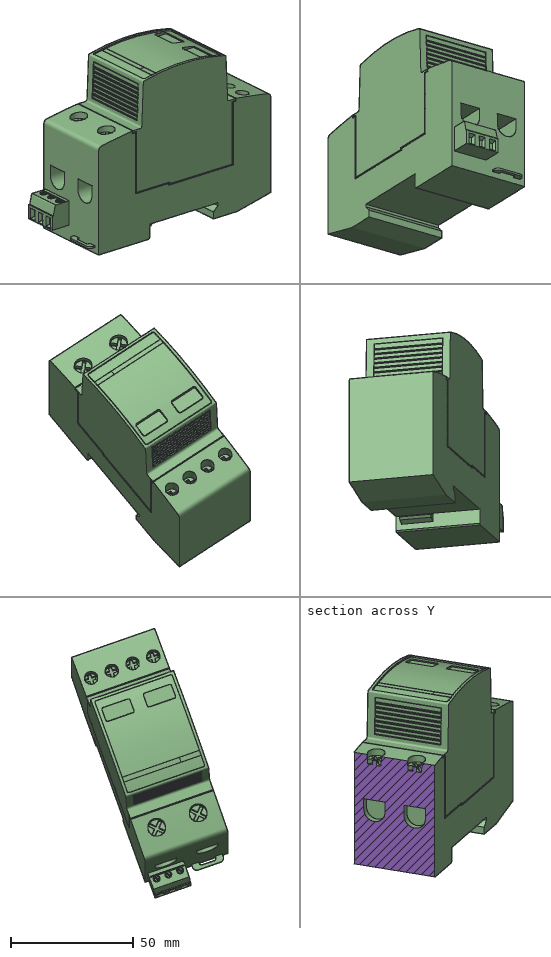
import cadquery as cq
import math


WIDTH = 36.0
HALF_WIDTH = WIDTH / 2
HALF_LENGTH = 45.0
HEIGHT = 73.51
POLE_PITCH = WIDTH / 2
POLE_XS = (-POLE_PITCH / 2, POLE_PITCH / 2)

CROWN_RADIUS = 94.0
CROWN_HALF = 21.6
CROWN_EDGE_FILLET = 0.7
MODULE_BASE_HALF = 22.45
MODULE_BASE_FILLET = 0.9

SHOULDER_Z = 50.5
SHOULDER_FLAT_HALF = 27.0
SHOULDER_RADIUS = 250.0
SHOULDER_FILLET = 2.0

REAR_BEVEL_Z = 3.8
REAR_FOOT_Y = 27.5
RAIL_REAR_Y = 15.1
RAIL_HOOK_Y = 17.3
RAIL_HOOK_LOW_Z = 3.1
RAIL_HOOK_HIGH_Z = 5.4
RAIL_TOP_Z = 6.6
RAIL_FRONT_Y = -18.2
RAIL_LEAD_IN = 0.6

GAP = 0.3
GAP_DEPTH = 0.4
LIP_REAR_Y = 26.9
LIP_FRONT_Y = -27.2
LIP_Z = 49.3
SOCKET_REAR_Y = 25.4
SOCKET_FRONT_Y = -25.4
SOCKET_REAR_Z = 21.3
SOCKET_FRONT_Z = 22.1
SOCKET_STEP_Y = -8.1

LABEL_MARGIN = 1.25
LABEL_HALF_LENGTH = 20.25
LABEL_CORNER = 0.7
LABEL_DEPTH = 0.6
WINDOW_LENGTH = 12.2
WINDOW_WIDTH = 6.2
WINDOW_CORNER = 0.8
WINDOW_Y = 13.5
WINDOW_FLOOR_Z = 70.9
STRIP_FRONT_Y = -15.55
STRIP_WIDTH = 2.1
STRIP_SPLIT_X = 8.1
STRIP_LEFT_DEPTH = 0.1
STRIP_RIGHT_DEPTH = 0.15

LOUVRE_WIDTH = 29.4
LOUVRE_COUNT = 8
LOUVRE_PITCH = 1.98
LOUVRE_BOTTOM_Z = 52.7
LOUVRE_LEDGE = 0.2
LOUVRE_LAND = 0.4
LOUVRE_DEPTH = 0.5
LOUVRE_TOP_EXTRA = 0.6

REAR_SCREW_COUNT = 4
REAR_SCREW_PITCH = WIDTH / REAR_SCREW_COUNT
REAR_SCREW_Y = 33.7
REAR_SCREW_DIAMETER = 5.4
REAR_SCREW_HEAD_Z = 44.5
REAR_CROSS_LENGTH = 4.3
REAR_CROSS_SHIFT = 0.4
FRONT_SCREW_Y = -33.8
FRONT_SCREW_DIAMETER = 7.2
FRONT_SCREW_HEAD_Z = 47.2
FRONT_CROSS_LENGTH = 7.0
FRONT_CROSS_TURN = 45.0
CROSS_WIDTH = 1.3
CROSS_DEPTH = 2.0

ENTRY_WIDTH = 9.2
ENTRY_TOP_Z = 29.4
ENTRY_BOTTOM_Z = 20.3
ENTRY_DEPTH = 12.0

TERMINAL_LEFT_X = -16.8
TERMINAL_WIDTH = 15.5
TERMINAL_FRONT_Y = -53.8
TERMINAL_BOTTOM_Z = 6.9
TERMINAL_TOP_Z = 17.7
TERMINAL_LEDGE_Z = 13.2
TERMINAL_LEDGE = 0.5
TERMINAL_SLOPE = 0.9
TERMINAL_TOP_BREAK = 0.6
TERMINAL_BREAK_RUN = 0.35
TERMINAL_PITCH = 5.08
TERMINAL_CENTER_X = TERMINAL_LEFT_X + TERMINAL_WIDTH / 2
TERMINAL_XS = [TERMINAL_CENTER_X + k * TERMINAL_PITCH for k in (-1, 0, 1)]
TERMINAL_SCREW_Y = -48.25
TERMINAL_SCREW_DIAMETER = 2.8
TERMINAL_SCREW_RING = 0.35
TERMINAL_RING_DEPTH = 0.3
TERMINAL_SLOT_WIDTH = 0.5
TERMINAL_SLOT_LENGTH = 1.9
TERMINAL_SLOT_TURN = -45.0
TERMINAL_GROOVE_Y = -46.8
TERMINAL_GROOVE_WIDTH = 0.5
TERMINAL_GROOVE_LENGTH = 14.4
TERMINAL_GROOVE_DEPTH = 0.2
PORT_WIDTH = 2.9
PORT_TOP_Z = 12.0
PORT_BOTTOM_Z = 7.4
PORT_FLOOR_WIDTH = 1.8
PORT_FLOOR_TOP_Z = 11.0
PORT_FLOOR_BOTTOM_Z = 8.1
PORT_DEPTH = 1.5

LATCH_CENTER_X = 8.85
LATCH_WIDTH = 13.4
LATCH_REACH = 3.0
LATCH_BOTTOM_Z = 2.6
LATCH_THICKNESS = 0.8
LATCH_CORNER = 1.9
LATCH_HOLE_WIDTH = 7.1
LATCH_HOLE_REACH = 1.5
LATCH_HOLE_CORNER = 0.9
TOOTH_TIP = (-14.9, 5.4)
TOOTH_BEND = (-15.9, 4.3)
TOOTH_BOTTOM_Z = 3.1
TOOTH_TOP_Z = 6.2

OVERLAP = 1.0


def box(x_range, y_range, z_range):
    """Axis-aligned box between the given limits."""
    size = [high - low for low, high in (x_range, y_range, z_range)]
    return cq.Workplane("XY").box(*size, centered=False).translate((x_range[0], y_range[0], z_range[0]))


def crown_z(y, depth=0.0):
    """Height of the crown surface, or of the surface parallel to it below."""
    radius = CROWN_RADIUS - depth
    return HEIGHT - CROWN_RADIUS + math.sqrt(radius**2 - y**2)


def shoulder_z(y):
    """Height of the shoulder arc, whose axis lies on the mid-plane."""
    flat_drop = math.sqrt(SHOULDER_RADIUS**2 - SHOULDER_FLAT_HALF**2)
    return SHOULDER_Z - flat_drop + math.sqrt(SHOULDER_RADIUS**2 - y**2)


def housing():
    crown_edge_z = crown_z(CROWN_HALF)
    shoulder_end_z = shoulder_z(HALF_LENGTH)
    shoulder_mid_y = (SHOULDER_FLAT_HALF + HALF_LENGTH) / 2
    shoulder_mid_z = shoulder_z(shoulder_mid_y)
    profile = (
        cq.Workplane("YZ", origin=(-HALF_WIDTH, 0, 0))
        .moveTo(-HALF_LENGTH, 0)
        .lineTo(-HALF_LENGTH, shoulder_end_z)
        .threePointArc((-shoulder_mid_y, shoulder_mid_z), (-SHOULDER_FLAT_HALF, SHOULDER_Z))
        .lineTo(-MODULE_BASE_HALF, SHOULDER_Z)
        .lineTo(-CROWN_HALF, crown_edge_z)
        .threePointArc((0, HEIGHT), (CROWN_HALF, crown_edge_z))
        .lineTo(MODULE_BASE_HALF, SHOULDER_Z)
        .lineTo(SHOULDER_FLAT_HALF, SHOULDER_Z)
        .threePointArc((shoulder_mid_y, shoulder_mid_z), (HALF_LENGTH, shoulder_end_z))
        .lineTo(HALF_LENGTH, REAR_BEVEL_Z)
        .lineTo(REAR_FOOT_Y, 0)
        .lineTo(RAIL_REAR_Y, 0)
        .lineTo(RAIL_REAR_Y, RAIL_HOOK_LOW_Z)
        .lineTo(RAIL_HOOK_Y, RAIL_HOOK_HIGH_Z)
        .lineTo(RAIL_HOOK_Y, RAIL_TOP_Z)
        .lineTo(RAIL_FRONT_Y, RAIL_TOP_Z)
        .lineTo(RAIL_FRONT_Y, RAIL_LEAD_IN)
        .lineTo(RAIL_FRONT_Y - RAIL_LEAD_IN, 0)
        .close()
    )
    solid = profile.extrude(WIDTH)
    for half, z, radius in (
        (HALF_LENGTH, shoulder_end_z, SHOULDER_FILLET),
        (MODULE_BASE_HALF, SHOULDER_Z, MODULE_BASE_FILLET),
        (CROWN_HALF, crown_edge_z, CROWN_EDGE_FILLET),
    ):
        for y in (-half, half):
            solid = solid.edges(cq.NearestToPointSelector((0, y, z))).fillet(radius)
    return solid


def parting_gap():
    """Groove around the module: shallow on the side walls, full width across the top lips."""
    above = HEIGHT + OVERLAP
    corners = [
        (LIP_REAR_Y, above),
        (LIP_REAR_Y, LIP_Z),
        (SOCKET_REAR_Y, LIP_Z),
        (SOCKET_REAR_Y, SOCKET_REAR_Z),
        (SOCKET_STEP_Y, SOCKET_REAR_Z),
        (SOCKET_STEP_Y, SOCKET_FRONT_Z),
        (SOCKET_FRONT_Y, SOCKET_FRONT_Z),
        (SOCKET_FRONT_Y, LIP_Z),
        (LIP_FRONT_Y, LIP_Z),
        (LIP_FRONT_Y, above),
    ]
    plane = cq.Workplane("YZ", origin=(-HALF_WIDTH, 0, 0))
    socket = plane.polyline(corners).close().extrude(WIDTH)
    core = plane.polyline(corners).close().offset2D(-GAP, "intersection").extrude(WIDTH)
    ring = socket.cut(core)
    inner_half = HALF_WIDTH - GAP_DEPTH
    buried = box((-inner_half, inner_half), (-HALF_LENGTH, HALF_LENGTH), (0, LIP_Z))
    return ring.cut(buried)


def below_crown(depth):
    """Cylinder whose surface runs parallel to the crown at the given depth."""
    axis_z = HEIGHT - CROWN_RADIUS
    return cq.Workplane("YZ", origin=(-HALF_WIDTH, 0, axis_z)).circle(CROWN_RADIUS - depth).extrude(WIDTH)


def label_recess():
    half_x = HALF_WIDTH - LABEL_MARGIN
    floor_z = crown_z(CROWN_HALF, LABEL_DEPTH) - OVERLAP
    prism = box((-half_x, half_x), (-LABEL_HALF_LENGTH, LABEL_HALF_LENGTH), (floor_z, HEIGHT + OVERLAP))
    tool = prism.edges("|Z").fillet(LABEL_CORNER).cut(below_crown(LABEL_DEPTH))

    strip_y = (STRIP_FRONT_Y, STRIP_FRONT_Y + STRIP_WIDTH)
    for x_range, depth in (
        ((-half_x, STRIP_SPLIT_X), STRIP_LEFT_DEPTH),
        ((STRIP_SPLIT_X, half_x), STRIP_RIGHT_DEPTH),
    ):
        strip = box(x_range, strip_y, (floor_z, HEIGHT))
        tool = tool.union(strip.cut(below_crown(LABEL_DEPTH + depth)))
    return tool


def windows():
    return (
        cq.Workplane("XY", origin=(0, WINDOW_Y, WINDOW_FLOOR_Z))
        .pushPoints([(x, 0) for x in POLE_XS])
        .rect(WINDOW_LENGTH, WINDOW_WIDTH)
        .extrude(HEIGHT - WINDOW_FLOOR_Z)
        .edges("|Z")
        .fillet(WINDOW_CORNER)
    )


def wall_y(z):
    """Distance of the tapered module wall from the mid-plane."""
    rise = (z - SHOULDER_Z) / (crown_z(CROWN_HALF) - SHOULDER_Z)
    return MODULE_BASE_HALF + rise * (CROWN_HALF - MODULE_BASE_HALF)


def louvres():
    """Flat-bottomed grooves in both walls, each with a sloping lower ledge."""
    tool = cq.Workplane("XY")
    for index in range(LOUVRE_COUNT):
        bottom_z = LOUVRE_BOTTOM_Z + index * LOUVRE_PITCH
        ledge_z = bottom_z + LOUVRE_LEDGE
        top_z = bottom_z + LOUVRE_PITCH - LOUVRE_LAND
        if index == LOUVRE_COUNT - 1:
            top_z += LOUVRE_TOP_EXTRA
        groove = (
            cq.Workplane("YZ", origin=(-LOUVRE_WIDTH / 2, 0, 0))
            .polyline([
                (-wall_y(bottom_z), bottom_z),
                (-wall_y(ledge_z) + LOUVRE_DEPTH, ledge_z),
                (-wall_y(top_z) + LOUVRE_DEPTH, top_z),
                (-wall_y(top_z) - OVERLAP, top_z),
                (-wall_y(bottom_z) - OVERLAP, bottom_z),
            ])
            .close()
            .extrude(LOUVRE_WIDTH)
        )
        tool = tool.add(groove).add(groove.mirror("XZ"))
    return tool.combine()


def screw_well(x, y, diameter, head_z, cross_length, cross_y=0, turn=0):
    """Round well down to a screw head with a cross recess, both turned by an angle."""
    well = cq.Workplane("XY", origin=(0, 0, head_z)).circle(diameter / 2).extrude(SHOULDER_Z - head_z)
    cross = cq.Workplane("XY", origin=(0, cross_y, head_z - CROSS_DEPTH))
    tool = well
    for length_x, length_y in ((cross_length, CROSS_WIDTH), (CROSS_WIDTH, cross_length)):
        tool = tool.union(cross.rect(length_x, length_y).extrude(CROSS_DEPTH))
    return tool.rotate((0, 0, 0), (0, 0, 1), turn).translate((x, y, 0))


def wire_entry(x):
    """Slot with a flat top and a half-round bottom, entering the front wall."""
    radius = ENTRY_WIDTH / 2
    arc_z = ENTRY_BOTTOM_Z + radius
    return (
        cq.Workplane("XZ", origin=(x, -HALF_LENGTH, 0))
        .moveTo(-radius, ENTRY_TOP_Z)
        .lineTo(-radius, arc_z)
        .threePointArc((0, ENTRY_BOTTOM_Z), (radius, arc_z))
        .lineTo(radius, ENTRY_TOP_Z)
        .close()
        .extrude(-ENTRY_DEPTH)
    )


def terminal_body():
    slope_foot_y = TERMINAL_FRONT_Y + TERMINAL_LEDGE
    slope_top_y = slope_foot_y + TERMINAL_SLOPE
    return (
        cq.Workplane("YZ", origin=(TERMINAL_LEFT_X, 0, 0))
        .polyline([
            (-HALF_LENGTH + OVERLAP, TERMINAL_BOTTOM_Z),
            (TERMINAL_FRONT_Y, TERMINAL_BOTTOM_Z),
            (TERMINAL_FRONT_Y, TERMINAL_LEDGE_Z),
            (slope_foot_y, TERMINAL_LEDGE_Z),
            (slope_top_y, TERMINAL_TOP_Z - TERMINAL_TOP_BREAK),
            (slope_top_y + TERMINAL_BREAK_RUN, TERMINAL_TOP_Z),
            (-HALF_LENGTH + OVERLAP, TERMINAL_TOP_Z),
        ])
        .close()
        .extrude(TERMINAL_WIDTH)
    )


def terminal_port(x):
    """Rectangular funnel tapering from the block face to a smaller floor."""
    face_z = (PORT_TOP_Z + PORT_BOTTOM_Z) / 2
    floor_z = (PORT_FLOOR_TOP_Z + PORT_FLOOR_BOTTOM_Z) / 2
    return (
        cq.Workplane("XZ", origin=(x, TERMINAL_FRONT_Y, face_z))
        .rect(PORT_WIDTH, PORT_TOP_Z - PORT_BOTTOM_Z)
        .workplane(offset=-PORT_DEPTH)
        .center(0, floor_z - face_z)
        .rect(PORT_FLOOR_WIDTH, PORT_FLOOR_TOP_Z - PORT_FLOOR_BOTTOM_Z)
        .loft(ruled=True)
    )


def terminal_screw(x):
    """Ring groove around a screw head and the slanted driver slot across it."""
    plane = cq.Workplane("XY", origin=(x, TERMINAL_SCREW_Y, TERMINAL_TOP_Z))
    radius = TERMINAL_SCREW_DIAMETER / 2
    ring = plane.circle(radius).circle(radius - TERMINAL_SCREW_RING).extrude(-TERMINAL_RING_DEPTH)
    slot = plane.transformed(rotate=(0, 0, TERMINAL_SLOT_TURN)).rect(TERMINAL_SLOT_LENGTH, TERMINAL_SLOT_WIDTH)
    return ring.union(slot.extrude(-TERMINAL_RING_DEPTH))


def terminal_block():
    block = terminal_body()
    groove = (
        cq.Workplane("XY", origin=(TERMINAL_CENTER_X, TERMINAL_GROOVE_Y, TERMINAL_TOP_Z))
        .rect(TERMINAL_GROOVE_LENGTH, TERMINAL_GROOVE_WIDTH)
        .extrude(-TERMINAL_GROOVE_DEPTH)
    )
    block = block.cut(groove)
    for x in TERMINAL_XS:
        block = block.cut(terminal_port(x)).cut(terminal_screw(x))
    return block


def latch_plate(width, reach, corner):
    """Flat plate from inside the front wall outwards, with rounded front corners."""
    return (
        box(
            (LATCH_CENTER_X - width / 2, LATCH_CENTER_X + width / 2),
            (-HALF_LENGTH - reach, -HALF_LENGTH + OVERLAP),
            (LATCH_BOTTOM_Z, LATCH_BOTTOM_Z + LATCH_THICKNESS),
        )
        .edges("|Z and <Y")
        .fillet(corner)
    )


def latch_loop():
    hole = latch_plate(LATCH_HOLE_WIDTH, LATCH_HOLE_REACH, LATCH_HOLE_CORNER)
    return latch_plate(LATCH_WIDTH, LATCH_REACH, LATCH_CORNER).cut(hole)


def latch_tooth():
    root_y = RAIL_FRONT_Y - OVERLAP
    return (
        cq.Workplane("YZ", origin=(LATCH_CENTER_X - LATCH_WIDTH / 2, 0, 0))
        .polyline([
            (root_y, TOOTH_BOTTOM_Z),
            (RAIL_FRONT_Y, TOOTH_BOTTOM_Z),
            TOOTH_BEND,
            TOOTH_TIP,
            (RAIL_FRONT_Y, TOOTH_TOP_Z),
            (root_y, TOOTH_TOP_Z),
        ])
        .close()
        .extrude(LATCH_WIDTH)
    )


def part():
    solid = housing()
    for tool in (parting_gap(), label_recess(), windows(), louvres()):
        solid = solid.cut(tool)

    for index in range(REAR_SCREW_COUNT):
        x = (index - (REAR_SCREW_COUNT - 1) / 2) * REAR_SCREW_PITCH
        solid = solid.cut(screw_well(
            x,
            REAR_SCREW_Y,
            REAR_SCREW_DIAMETER,
            REAR_SCREW_HEAD_Z,
            REAR_CROSS_LENGTH,
            cross_y=REAR_CROSS_SHIFT,
        ))
    for x in POLE_XS:
        solid = solid.cut(screw_well(
            x,
            FRONT_SCREW_Y,
            FRONT_SCREW_DIAMETER,
            FRONT_SCREW_HEAD_Z,
            FRONT_CROSS_LENGTH,
            turn=FRONT_CROSS_TURN,
        ))
        solid = solid.cut(wire_entry(x))

    for piece in (terminal_block(), latch_loop(), latch_tooth()):
        solid = solid.union(piece)
    return solid


result = part()